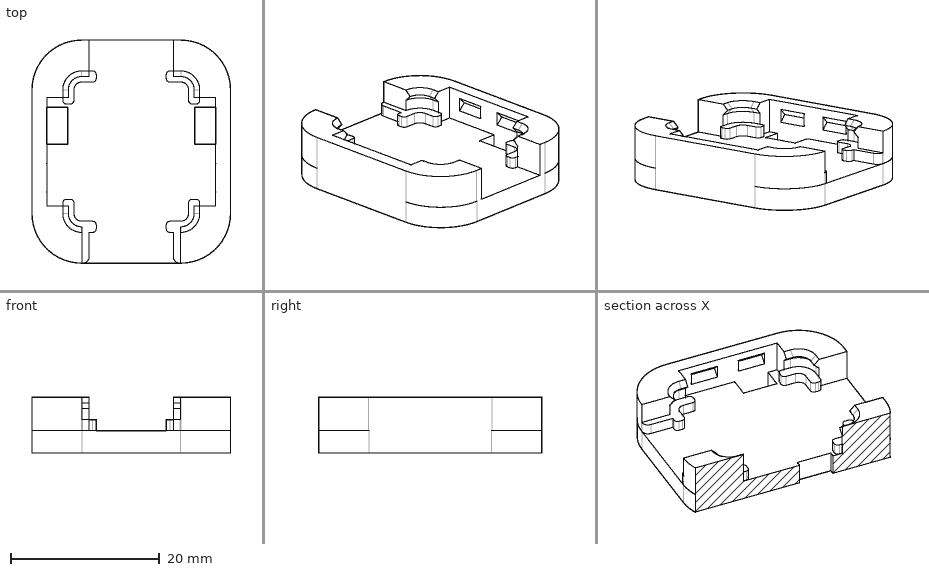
import cadquery as cq
import math

LENGTH_X = 26.7
LENGTH_Y = 30.0
HEIGHT = 7.5
FLOOR_HEIGHT = 3.0
BASE_CORNER_RADIUS = 6.75
WALL_CORNER_RADIUS = 6.7

CAVITY_RADIUS = 2.55
CORNER_X = LENGTH_X / 2 - WALL_CORNER_RADIUS
CORNER_Y = LENGTH_Y / 2 - WALL_CORNER_RADIUS
CAVITY_X = CORNER_X + CAVITY_RADIUS
CAVITY_Y = CORNER_Y + CAVITY_RADIUS
SIDE_WALL = 2.0
POCKET_X = LENGTH_X / 2 - SIDE_WALL
POCKET_Y = 7.3

FRONT_OPENING_X = 6.6
BACK_OPENING_X = 5.65

LIP_DEPTH = 0.75
LIP_FLANK_ANGLE = 45.0

SUPPORT_HEIGHT = 1.5
SUPPORT_WIDTH = 1.5
SUPPORT_END_X = 4.7
SUPPORT_END_Y = 6.4
SUPPORT_END_RADIUS = 0.5
RIB_END_RADIUS = 0.9

SLOT_INNER_X = 8.55
SLOT_Y_MIN = 1.0
SLOT_Y_MAX = 5.95

NOTCH_LENGTH = 3.85
NOTCH_CENTER_Y = 3.5
NOTCH_CENTER_Z = 5.5
NOTCH_DEPTH = 0.9


def block(x_min, x_max, y_min, y_max, z_min, z_max):
    """Axis-aligned box given by its limits."""
    size = (x_max - x_min, y_max - y_min, z_max - z_min)
    return cq.Workplane("XY").box(*size, centered=False).translate((x_min, y_min, z_min))


def rounded_block(half_x, half_y, radius, z_min, z_max):
    """Box centred on the Z axis with rounded vertical edges."""
    return block(-half_x, half_x, -half_y, half_y, z_min, z_max).edges("|Z").fillet(radius)


def at_sides(shape):
    """The shape together with its mirror image in the YZ plane."""
    return shape.union(shape.mirror("YZ"))


def at_corners(shape):
    """The shape repeated in all four corners."""
    sides = at_sides(shape)
    return sides.union(sides.mirror("XZ"))


def make_base():
    return rounded_block(LENGTH_X / 2, LENGTH_Y / 2, BASE_CORNER_RADIUS, 0, FLOOR_HEIGHT)


def make_walls():
    """Perimeter wall with a snap lip, side pockets and openings in both ends."""
    walls = rounded_block(LENGTH_X / 2, LENGTH_Y / 2, WALL_CORNER_RADIUS, FLOOR_HEIGHT, HEIGHT)
    ridge_z = HEIGHT - LIP_DEPTH
    cavity = rounded_block(CAVITY_X, CAVITY_Y, CAVITY_RADIUS, FLOOR_HEIGHT, ridge_z - LIP_DEPTH)
    ridge_section = cavity.faces(">Z").wires().val()
    lower_flank = cq.Workplane("XY").add(ridge_section).toPending().extrude(LIP_DEPTH, taper=LIP_FLANK_ANGLE)
    upper_flank = lower_flank.mirror("XY", (0, 0, ridge_z))
    walls = walls.cut(cavity).cut(lower_flank).cut(upper_flank)
    walls = walls.cut(block(-POCKET_X, POCKET_X, -POCKET_Y, POCKET_Y, FLOOR_HEIGHT, HEIGHT))
    end_y = LENGTH_Y / 2
    walls = walls.cut(block(-FRONT_OPENING_X, FRONT_OPENING_X, -end_y, 0, FLOOR_HEIGHT, HEIGHT))
    return walls.cut(block(-BACK_OPENING_X, BACK_OPENING_X, 0, end_y, FLOOR_HEIGHT, HEIGHT))


def make_support():
    """L-shaped support with a curved elbow, in the +X +Y corner."""
    elbow = math.sqrt(0.5)
    inner_radius = CAVITY_RADIUS - SUPPORT_WIDTH
    inner_x = CAVITY_X - SUPPORT_WIDTH
    inner_y = CAVITY_Y - SUPPORT_WIDTH
    outline = (
        cq.Workplane("XY", origin=(0, 0, FLOOR_HEIGHT))
        .moveTo(SUPPORT_END_X, CAVITY_Y)
        .lineTo(CORNER_X, CAVITY_Y)
        .threePointArc(
            (CORNER_X + CAVITY_RADIUS * elbow, CORNER_Y + CAVITY_RADIUS * elbow),
            (CAVITY_X, CORNER_Y),
        )
        .lineTo(CAVITY_X, SUPPORT_END_Y)
        .lineTo(inner_x, SUPPORT_END_Y)
        .lineTo(inner_x, CORNER_Y)
        .threePointArc(
            (CORNER_X + inner_radius * elbow, CORNER_Y + inner_radius * elbow),
            (CORNER_X, inner_y),
        )
        .lineTo(SUPPORT_END_X, inner_y)
        .close()
    )
    support = outline.extrude(SUPPORT_HEIGHT)
    free_ends = support.edges("|Z and (<X or <Y)")
    return free_ends.fillet(SUPPORT_END_RADIUS)


def make_front_rib():
    """Rib lining the +X jamb of the front opening, rounded at its outer end."""
    top = FLOOR_HEIGHT + SUPPORT_HEIGHT
    rib = block(BACK_OPENING_X, FRONT_OPENING_X, -LENGTH_Y / 2, -CAVITY_Y, FLOOR_HEIGHT, top)
    return rib.edges("|Z and <X and <Y").fillet(RIB_END_RADIUS)


def make_slot():
    return block(SLOT_INNER_X, POCKET_X, SLOT_Y_MIN, SLOT_Y_MAX, 0, FLOOR_HEIGHT)


def make_notch():
    """V-shaped recess in the inner face of the +X wall, on the +Y side."""
    return (
        cq.Workplane("XZ", origin=(POCKET_X, NOTCH_CENTER_Y, NOTCH_CENTER_Z))
        .polyline([(0, -NOTCH_DEPTH), (NOTCH_DEPTH, 0), (0, NOTCH_DEPTH)])
        .close()
        .extrude(NOTCH_LENGTH / 2, both=True)
    )


result = (
    make_base()
    .union(make_walls())
    .union(at_corners(make_support()))
    .union(at_sides(make_front_rib()))
    .cut(at_sides(make_slot()))
    .cut(at_corners(make_notch()))
)